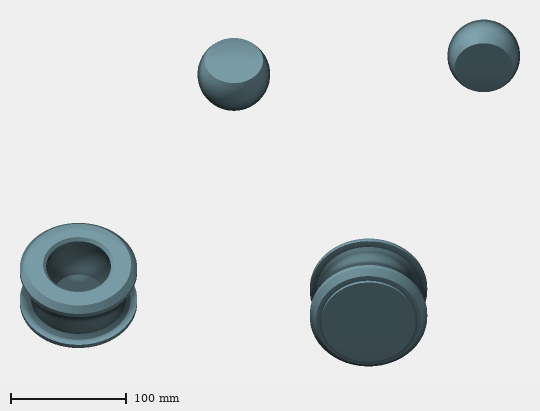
import cadquery as cq

ball_radius = 31.5
ball_height = 38.0
ball_offset = 140.0
overall_height = 292.0

plate_radius = 41.0
plate_thickness = 3.0

flange_radius = 50.8
flange_thickness = 9.5
flange_chamfer = 5.3
core_radius = 41.5
core_chamfer = 3.5
spool_height = 57.3

socket_mouth_radius = 28.0
socket_chamfer = 2.5
socket_floor_radius = 21.5

spool_bottom = plate_thickness
spool_top = spool_bottom + spool_height
mouth_z = spool_top - socket_chamfer
socket_center_z = mouth_z - (ball_radius**2 - socket_mouth_radius**2) ** 0.5
socket_floor_z = socket_center_z - (ball_radius**2 - socket_floor_radius**2) ** 0.5
ball_center_z = overall_height - ball_height / 2


def make_base_plate():
    """Round plate against the underside of the spool."""
    return cq.Workplane("XY").circle(plate_radius).extrude(plate_thickness)


def make_socket_cutter():
    """Spherical seat with a flat floor and a chamfered mouth."""
    return (
        cq.Workplane("XZ")
        .moveTo(0, socket_floor_z)
        .lineTo(socket_floor_radius, socket_floor_z)
        .threePointArc((ball_radius, socket_center_z), (socket_mouth_radius, mouth_z))
        .lineTo(socket_mouth_radius + socket_chamfer, spool_top)
        .lineTo(0, spool_top)
        .close()
        .revolve(360, (0, 0), (0, 1))
    )


def make_flange(bottom_z, outer_face):
    """Flange disc chamfered along the rim of its outer face."""
    return (
        cq.Workplane("XY")
        .workplane(offset=bottom_z)
        .circle(flange_radius)
        .extrude(flange_thickness)
        .faces(outer_face)
        .chamfer(flange_chamfer)
    )


def make_core():
    """Cylinder between the flanges, flared by a cone at each end."""
    flare_radius = core_radius + core_chamfer
    core_bottom = spool_bottom + flange_thickness
    core_top = spool_top - flange_thickness
    return (
        cq.Workplane("XZ")
        .moveTo(0, core_bottom)
        .lineTo(flare_radius, core_bottom)
        .lineTo(core_radius, core_bottom + core_chamfer)
        .lineTo(core_radius, core_top - core_chamfer)
        .lineTo(flare_radius, core_top)
        .lineTo(0, core_top)
        .close()
        .revolve(360, (0, 0), (0, 1))
    )


def make_spool():
    """Flanged housing that holds the ball socket."""
    lower_flange = make_flange(spool_bottom, "<Z")
    upper_flange = make_flange(spool_top - flange_thickness, ">Z")
    body = make_core().union(lower_flange).union(upper_flange)
    return body.cut(make_socket_cutter()).solids()


def make_ball():
    """Ball cut flat at the top and bottom, placed above and behind the spool."""
    width = 2 * ball_radius
    slab = cq.Workplane("XY").box(width, width, ball_height)
    ball = cq.Workplane("XY").sphere(ball_radius).intersect(slab).solids()
    return ball.translate((0, ball_offset, ball_center_z))


base_plate = make_base_plate()
spool = make_spool()
ball = make_ball()

result = cq.Compound.makeCompound([base_plate.val(), spool.val(), ball.val()])